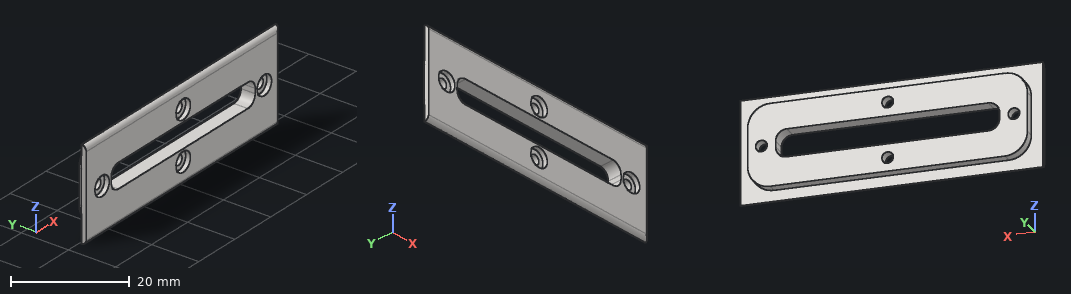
import cadquery as cq

plate_length = 54.0
plate_height = 19.0
total_depth = 3.0
plate_thickness = total_depth / 3
rim_flat = 0.01
edge_radius = plate_thickness - rim_flat

pad_margin = 2.0
pad_length = plate_length - 2 * pad_margin
pad_height = plate_height - 2 * pad_margin
pad_corner_radius = 4.0

window_length = 40.0
window_height = 5.0
window_corner_radius = 2.0

screw_diameter = 2.0
head_diameter = 2 * screw_diameter
head_depth = plate_thickness
screw_offset_x = 22.55
screw_offset_z = 5.0
screw_points = [
    (-screw_offset_x, 0),
    (screw_offset_x, 0),
    (0, -screw_offset_z),
    (0, screw_offset_z),
]


def centred_block(length, depth, height):
    """Block centred in X and Z, reaching back from the front face at Y = 0."""
    return cq.Workplane("XY").box(length, depth, height, centered=(True, False, True))


def make_plate():
    """Plate with a rounded front rim on every side but the left."""
    plate = centred_block(plate_length, plate_thickness, plate_height)
    front_rim = plate.faces("<Y").edges("|X or >X")
    return front_rim.fillet(edge_radius)


def make_pad():
    """Pad with rounded corners, starting at the front face so it joins the plate."""
    pad = centred_block(pad_length, total_depth, pad_height)
    return pad.edges("|Y").fillet(pad_corner_radius)


def make_window():
    """Cutter for the rounded window."""
    window = centred_block(window_length, total_depth, window_height)
    return window.edges("|Y").fillet(window_corner_radius)


def make_drill(diameter, depth):
    """Cutter for all four screw positions, going in from the front face."""
    return cq.Workplane("XZ").pushPoints(screw_points).circle(diameter / 2).extrude(-depth)


result = (
    make_plate()
    .union(make_pad())
    .cut(make_window())
    .cut(make_drill(screw_diameter, total_depth))
    .cut(make_drill(head_diameter, head_depth))
)